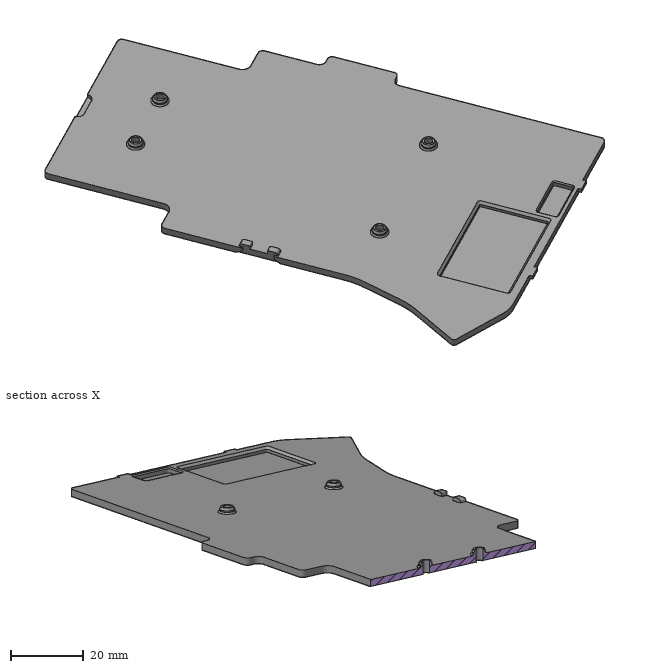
import cadquery as cq
import math

plate_thickness = 2.1
plate_right = 140.7
left_section_bottom = 23.5
left_section_top = 82.3
body_left = 38.1
body_bottom = 14.2
body_top = 91.8
tab_left = 57.0
tab_right = 77.5
tab_top = 96.3
first_bend_x = 95.9
second_bend_x = 113.6
bend_angle = 15.0
outer_corner_radius = 1.4
inner_corner_radius = 2.0
step_corner_radius = 2.5
tip_radius = 1.0
bend_radius = 22.7
tip_shoulder_radius = 9.9

boss_diameter = 4.2
boss_height = 1.5
boss_hole_diameter = 2.3
boss_chamfer_width = 0.4
boss_chamfer_height = 0.7
boss_foot_width = 0.4
boss_foot_height = 0.4
left_boss_x = 19.7
left_boss_ys = (43.5, 62.5)
right_boss_x = 95.6
right_boss_ys = (34.0, 72.0)

rim_margin = 0.1

pocket_depth = 1.5
large_pocket_x = (117.3, 137.5)
large_pocket_y = (23.8, 55.1)
large_pocket_chamfer = 0.7
large_pocket_radius = 0.1
small_pocket_x = (133.3, 139.2)
small_pocket_y = (57.4, 70.4)
small_pocket_chamfer = 0.35
small_pocket_radius = 0.5
pry_notch_length = 9.5
pry_notch_width = 2.0
pry_notch_depth = 1.0
pry_notch_radius = 1.8
pry_notch_y = 52.8

nub_length = 1.0
nub_width = 3.8
nub_bottom = 1.0
nub_thickness = plate_thickness - nub_bottom
nub_ys = right_boss_ys

clip_x = 67.1
clip_recess = 0.4
clip_foot_half_width = 6.5
clip_neck_half_width = 4.7
clip_neck_height = 1.1
clip_depth = 2.0
clip_height = 3.3
hook_half_span = 5.8
hook_gap_half_width = 2.5
hook_outer_round = 1.0
hook_inner_round = 0.3


def make_plate():
    first_slope = math.tan(math.radians(bend_angle))
    second_slope = math.tan(math.radians(2 * bend_angle))
    second_bend_y = body_bottom - first_slope * (second_bend_x - first_bend_x)

    tip_angle = math.radians(2 * bend_angle)
    tip_y = tip_radius * (1 - math.sin(tip_angle) - math.cos(tip_angle))
    tip_x = second_bend_x + (second_bend_y - tip_y) / second_slope
    shoulder_y = tip_y + (plate_right - tip_x) / second_slope

    corners = [
        (0, left_section_bottom, outer_corner_radius),
        (body_left, left_section_bottom, step_corner_radius),
        (body_left, body_bottom, outer_corner_radius),
        (first_bend_x, body_bottom, bend_radius),
        (second_bend_x, second_bend_y, bend_radius),
        (tip_x, tip_y, tip_radius),
        (plate_right, shoulder_y, tip_shoulder_radius),
        (plate_right, body_top, outer_corner_radius),
        (tab_right, body_top, inner_corner_radius),
        (tab_right, tab_top, outer_corner_radius),
        (tab_left, tab_top, outer_corner_radius),
        (tab_left, body_top, inner_corner_radius),
        (body_left, body_top, outer_corner_radius),
        (body_left, left_section_top, step_corner_radius),
        (0, left_section_top, outer_corner_radius),
    ]
    plate = cq.Workplane("XY").polyline([(x, y) for x, y, _ in corners]).close().extrude(plate_thickness)
    for x, y, radius in corners:
        nearest = cq.selectors.NearestToPointSelector((x, y, plate_thickness / 2))
        plate = plate.edges("|Z").edges(nearest).fillet(radius)
    return plate


def rounded_block(x_range, y_range, bottom, top, corner_radius):
    return (
        cq.Workplane("XY", origin=(sum(x_range) / 2, sum(y_range) / 2, bottom))
        .rect(x_range[1] - x_range[0], y_range[1] - y_range[0])
        .extrude(top - bottom)
        .edges("|Z")
        .fillet(corner_radius)
    )


def cut_pocket(plate, x_range, y_range, corner_radius, chamfer):
    floor = plate_thickness - pocket_depth
    plate = plate.cut(rounded_block(x_range, y_range, floor, plate_thickness, corner_radius))
    rim_box = cq.selectors.BoxSelector(
        (x_range[0] - rim_margin, y_range[0] - rim_margin, plate_thickness - rim_margin),
        (x_range[1] + rim_margin, y_range[1] + rim_margin, plate_thickness + rim_margin),
    )
    return plate.edges(rim_box).chamfer(chamfer)


def cut_pry_notch(plate):
    notch = (
        cq.Workplane("XY", origin=(0, pry_notch_y, plate_thickness - pry_notch_depth))
        .rect(2 * pry_notch_width, pry_notch_length)
        .extrude(pry_notch_depth)
        .edges("|Z and >X")
        .fillet(pry_notch_radius)
    )
    return plate.cut(notch)


def add_boss(plate, x, y):
    radius = boss_diameter / 2
    top = plate_thickness + boss_height
    boss = (
        cq.Workplane("XZ", origin=(x, y, 0))
        .polyline([
            (0, plate_thickness),
            (radius + boss_foot_width, plate_thickness),
            (radius, plate_thickness + boss_foot_height),
            (radius, top - boss_chamfer_height),
            (radius - boss_chamfer_width, top),
            (0, top),
        ])
        .close()
        .revolve(360, (0, 0), (0, 1))
    )
    hole = cq.Workplane("XY", origin=(x, y, 0)).circle(boss_hole_diameter / 2).extrude(top)
    return plate.union(boss).cut(hole)


def add_nub(plate, y):
    nub = (
        cq.Workplane("XY", origin=(plate_right, y, nub_bottom))
        .rect(2 * nub_length, nub_width)
        .extrude(nub_thickness)
    )
    return plate.union(nub)


def make_clip_hook():
    return (
        cq.Workplane("XZ", origin=(clip_x, body_bottom + clip_recess + clip_depth, 0))
        .moveTo(hook_gap_half_width, plate_thickness / 2)
        .lineTo(clip_neck_half_width, plate_thickness / 2)
        .lineTo(clip_neck_half_width, plate_thickness)
        .lineTo(hook_half_span, clip_height - hook_outer_round)
        .radiusArc((hook_half_span - hook_outer_round, clip_height), -hook_outer_round)
        .lineTo(hook_gap_half_width + hook_inner_round, clip_height)
        .radiusArc((hook_gap_half_width, clip_height - hook_inner_round), -hook_inner_round)
        .close()
        .extrude(clip_depth)
    )


def add_clip(plate):
    recess = (
        cq.Workplane("XZ", origin=(clip_x, body_bottom + clip_recess, 0))
        .polyline([
            (-clip_foot_half_width, 0),
            (-clip_neck_half_width, clip_neck_height),
            (-clip_neck_half_width, plate_thickness),
            (clip_neck_half_width, plate_thickness),
            (clip_neck_half_width, clip_neck_height),
            (clip_foot_half_width, 0),
        ])
        .close()
        .extrude(clip_recess)
    )
    right_hook = make_clip_hook()
    left_hook = right_hook.mirror("YZ", (clip_x, 0, 0))
    return plate.cut(recess).union(right_hook).union(left_hook)


result = make_plate()
result = cut_pocket(result, large_pocket_x, large_pocket_y, large_pocket_radius, large_pocket_chamfer)
result = cut_pocket(result, small_pocket_x, small_pocket_y, small_pocket_radius, small_pocket_chamfer)
result = cut_pry_notch(result)
for boss_y in left_boss_ys:
    result = add_boss(result, left_boss_x, boss_y)
for boss_y in right_boss_ys:
    result = add_boss(result, right_boss_x, boss_y)
for nub_y in nub_ys:
    result = add_nub(result, nub_y)
result = add_clip(result)